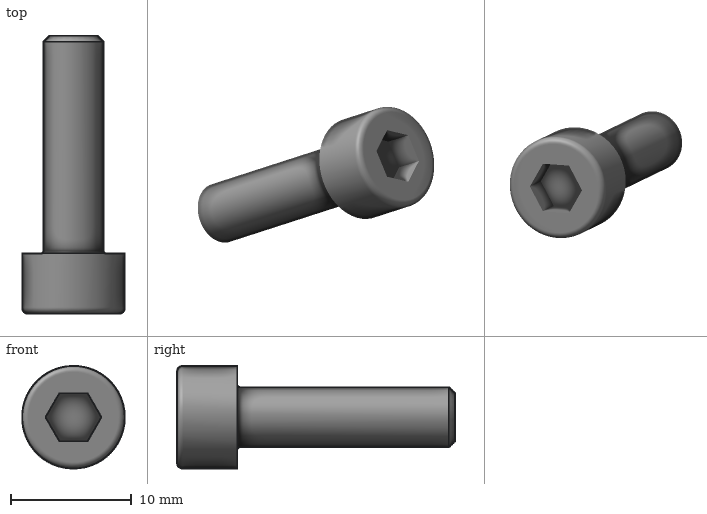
import cadquery as cq
import math

total_length = 23.0
head_diameter = 8.5
head_length = 5.0
head_edge_radius = 0.5
shank_diameter = 5.0
tip_chamfer = 0.5
neck_fillet = 0.2
socket_across_flats = 4.0
socket_depth = 2.5

head_radius = head_diameter / 2
shank_radius = shank_diameter / 2
socket_across_corners = socket_across_flats / math.cos(math.pi / 6)


def arc_middle(center_x, center_y, radius, degrees):
    """Point on a circle, used as the middle of a rounded corner."""
    angle = math.radians(degrees)
    return (center_x + radius * math.cos(angle), center_y + radius * math.sin(angle))


def screw_body():
    """Revolve the half profile about Y, with the head face at Y = 0."""
    edge_middle = arc_middle(head_radius - head_edge_radius, head_edge_radius, head_edge_radius, -45)
    neck_middle = arc_middle(shank_radius + neck_fillet, head_length + neck_fillet, neck_fillet, 225)
    profile = (
        cq.Workplane("XY")
        .lineTo(head_radius - head_edge_radius, 0)
        .threePointArc(edge_middle, (head_radius, head_edge_radius))
        .lineTo(head_radius, head_length)
        .lineTo(shank_radius + neck_fillet, head_length)
        .threePointArc(neck_middle, (shank_radius, head_length + neck_fillet))
        .lineTo(shank_radius, total_length - tip_chamfer)
        .lineTo(shank_radius - tip_chamfer, total_length)
        .lineTo(0, total_length)
        .close()
    )
    return profile.revolve(360, (0, 0, 0), (0, 1, 0))


def hex_socket():
    """Hexagonal prism sunk into the head face, two corners along X."""
    return cq.Workplane("XZ").polygon(6, socket_across_corners).extrude(-socket_depth)


result = screw_body().cut(hex_socket())